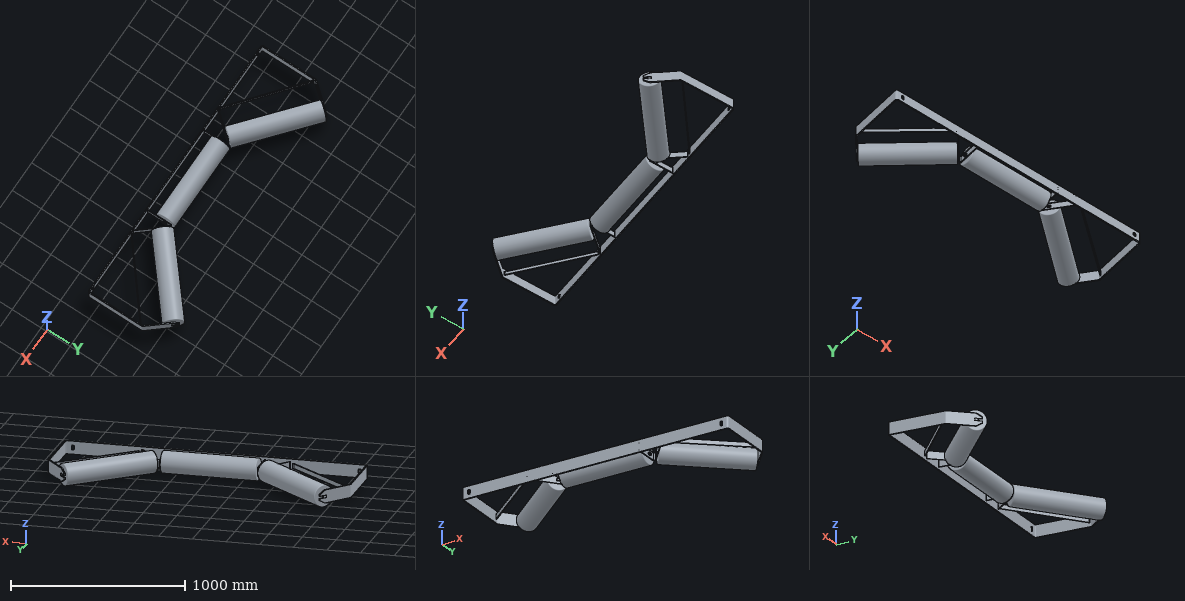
import cadquery as cq
import math


frame_length = 1800.0
overall_depth = 557.99
frame_width = 80.0
frame_thickness = 8.0
base_bend_radius = 14.0
arm_bend_radius = 10.0
upright_height = 377.0
arm_tip_reach = 35.0
arm_tip_chamfer_length = 37.0
arm_tip_chamfer_depth = 22.0
mount_slot_inset = 47.0
mount_slot_width = 17.0
mount_slot_length = 28.0

roller_radius = 133.0 / 2
roller_length = 572.0
rim_fillet = 5.0
shaft_diameter = 22.0
shaft_flat_width = 14.0
roller_gap = 2.5
tilt = 40.0
center_roller_y = 125.0

bracket_width = 50.0
bracket_thickness = 5.0
bracket_top = 170.0
bracket_foot_x = 437.0

brace_width = 30.0
brace_thickness = 6.0
brace_foot_x = 454.0
brace_top_y = 366.0

half_length = frame_length / 2
cos_tilt = math.cos(math.radians(tilt))
sin_tilt = math.sin(math.radians(tilt))
roller_end = roller_length / 2
arm_inner_face = roller_end + roller_gap
arm_outer_face = arm_inner_face + frame_thickness
shaft_reach = arm_outer_face
upright_inner_x = half_length - frame_thickness

side_roller_y = (
    overall_depth
    - rim_fillet
    - (roller_end - rim_fillet) * sin_tilt
    - (roller_radius - rim_fillet) * cos_tilt
)
side_roller_x = half_length - (arm_outer_face - (upright_height - side_roller_y) * sin_tilt) / cos_tilt


def mirrored(body):
    return body.mirror("YZ")


def strip(outline, width):
    return cq.Workplane("XY").polyline(outline).close().extrude(width / 2, both=True)


def place_on_right(body):
    """Move a body from the roller's own axes, with its axis along X, to the right side roller."""
    turned = body.rotate((0, 0, 0), (0, 0, 1), tilt)
    return turned.translate((side_roller_x, side_roller_y, 0))


def place_at_center(body):
    return body.translate((0, center_roller_y, 0))


def right_point(along, across):
    """Point given along and across the axis of the right side roller."""
    x = side_roller_x + along * cos_tilt - across * sin_tilt
    y = side_roller_y + along * sin_tilt + across * cos_tilt
    return (x, y)


def round_upright_edge(body, x, y, radius):
    edge = cq.selectors.NearestToPointSelector((x, y, 0))
    return body.edges("|Z").edges(edge).fillet(radius)


def make_shaft():
    rod = cq.Workplane("YZ").circle(shaft_diameter / 2).extrude(shaft_reach, both=True)
    flats = cq.Workplane("XY").box(2 * shaft_reach, shaft_diameter, shaft_flat_width)
    return rod.intersect(flats)


def make_roller():
    drum = cq.Workplane("YZ", origin=(-roller_end, 0, 0)).circle(roller_radius).extrude(roller_length)
    drum = drum.edges("%CIRCLE").fillet(rim_fillet)
    return drum.union(make_shaft())


def arm_shaft_slot():
    """Open slot that lets the shaft drop in from the tip of the arm."""
    slot_bottom = -shaft_diameter / 2
    slot_length = arm_tip_reach - slot_bottom
    return cq.Workplane("XY").box(
        frame_thickness, slot_length, shaft_flat_width, centered=(False, False, True)
    ).translate((arm_inner_face, slot_bottom, 0))


def arm_tip_corner(side):
    """Wedge removed from the upper (side = 1) or lower (side = -1) corner of the arm tip."""
    edge_z = side * frame_width / 2
    chamfer_z = side * (frame_width / 2 - arm_tip_chamfer_depth)
    wedge = [
        (arm_tip_reach, edge_z),
        (arm_tip_reach - arm_tip_chamfer_length, edge_z),
        (arm_tip_reach, chamfer_z),
    ]
    plane = cq.Workplane("YZ", origin=(arm_inner_face, 0, 0))
    return plane.polyline(wedge).close().extrude(frame_thickness)


def mount_slot():
    plane = cq.Workplane("XZ").center(half_length - mount_slot_inset, 0)
    return plane.slot2D(mount_slot_length, mount_slot_width, 90).extrude(-frame_thickness)


def make_frame():
    inner_bend_y = upright_height - frame_thickness * math.tan(math.radians(tilt / 2))
    outline = [
        (0, 0),
        (half_length, 0),
        (half_length, upright_height),
        right_point(arm_outer_face, arm_tip_reach),
        right_point(arm_inner_face, arm_tip_reach),
        (upright_inner_x, inner_bend_y),
        (upright_inner_x, frame_thickness),
        (0, frame_thickness),
    ]
    half = strip(outline, frame_width)
    half = round_upright_edge(half, half_length, 0, base_bend_radius)
    half = round_upright_edge(half, upright_inner_x, frame_thickness, base_bend_radius - frame_thickness)
    half = round_upright_edge(half, half_length, upright_height, arm_bend_radius)
    half = round_upright_edge(half, upright_inner_x, inner_bend_y, arm_bend_radius - frame_thickness)
    half = half.cut(place_on_right(arm_shaft_slot())).cut(mount_slot())
    for side in (1, -1):
        half = half.cut(place_on_right(arm_tip_corner(side)))
    return half.union(mirrored(half))


def leaning_leg_x(y, offset):
    """X at height y on a line parallel to the side roller's end, offset from the leg's lower face."""
    return bracket_foot_x + offset / cos_tilt - (y - frame_thickness) * sin_tilt / cos_tilt


def make_right_bracket():
    leg_left = arm_inner_face
    leg_right = leg_left + bracket_thickness
    inner_top = bracket_top - bracket_thickness
    outline = [
        (leg_left, frame_thickness),
        (leg_left, bracket_top),
        (leaning_leg_x(bracket_top, bracket_thickness), bracket_top),
        (leaning_leg_x(frame_thickness, bracket_thickness), frame_thickness),
        (leaning_leg_x(frame_thickness, 0), frame_thickness),
        (leaning_leg_x(inner_top, 0), inner_top),
        (leg_right, inner_top),
        (leg_right, frame_thickness),
    ]
    bracket = strip(outline, bracket_width)
    return bracket.cut(place_at_center(make_shaft())).cut(place_on_right(make_shaft()))


def make_right_brace():
    slope = math.atan2(brace_top_y - frame_thickness, upright_inner_x - brace_foot_x)
    outline = [
        (brace_foot_x, frame_thickness),
        (upright_inner_x, brace_top_y),
        (upright_inner_x, brace_top_y - brace_thickness / math.cos(slope)),
        (brace_foot_x + brace_thickness / math.sin(slope), frame_thickness),
    ]
    return strip(outline, brace_width)


frame = make_frame()
center_roller = place_at_center(make_roller())
right_roller = place_on_right(make_roller())
right_bracket = make_right_bracket()
right_brace = make_right_brace()

bodies = [frame.val(), center_roller.val()]
for right_body in (right_roller, right_bracket, right_brace):
    bodies.append(right_body.val())
    bodies.append(mirrored(right_body).val())

result = cq.Compound.makeCompound(bodies)